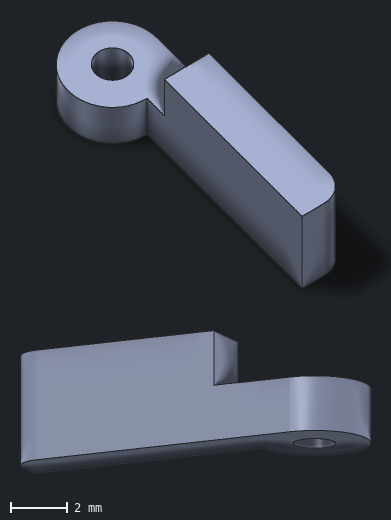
import cadquery as cq

length = 13.0
eye_radius = 2.0
hole_diameter = 1.5
base_height = 2.0
full_height = 4.0
step_from_eye_end = 5.0
corner_radius = 1.0

arm_end = length - eye_radius
step_x = step_from_eye_end - eye_radius


def arm_block(start_x, height):
    """Block of the arm from start_x to the free end, standing on Z = 0."""
    return cq.Workplane("XY").box(
        arm_end - start_x, eye_radius, height, centered=False
    ).translate((start_x, 0, 0))


eye = cq.Workplane("XY").circle(eye_radius).extrude(base_height)
arm = arm_block(0, base_height).union(arm_block(step_x, full_height)).clean()

arm = arm.edges("|Z and >X and >Y").fillet(corner_radius)

hole = cq.Workplane("XY").circle(hole_diameter / 2).extrude(base_height)

result = eye.union(arm).cut(hole)